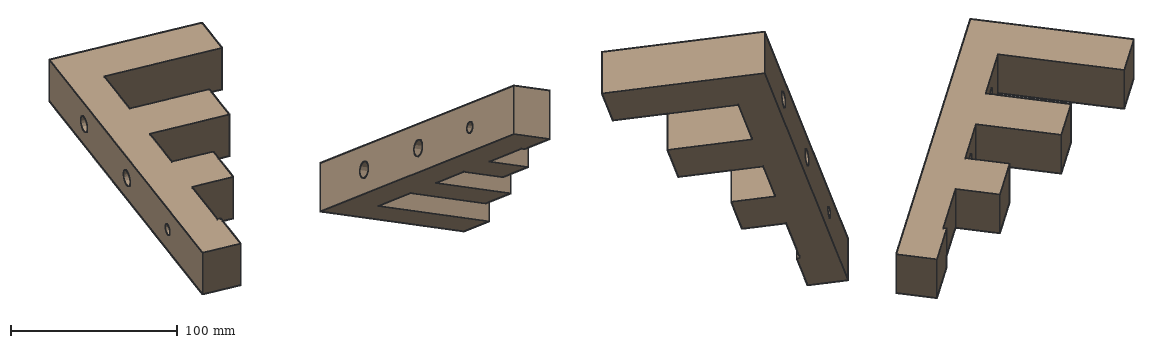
import cadquery as cq
import math

length = 229.0
base_depth = 23.0
thickness = 30.0

finger_width = 30.0
tallest_reach = 100.0
finger_count = 4
reach_step = tallest_reach / finger_count
outer_gap = 38.0
middle_gap = (length - finger_count * finger_width - 2 * outer_gap)
finger_gaps = [outer_gap, middle_gap, outer_gap]

through_diameter = 10.0
through_positions = [52.0, 115.9]
blind_diameter = 6.9
blind_position = 176.8
blind_depth = 16.0
drill_tip_angle = 118.0


def block(x_start, width, depth):
    """Block standing on the front face, y = 0."""
    return cq.Workplane("XY").box(width, depth, thickness, centered=False).translate((x_start, 0, 0))


def drill(x_position, diameter, depth):
    """Straight bore entering the front face."""
    entry = cq.Vector(x_position, 0, thickness / 2)
    return cq.Solid.makeCylinder(diameter / 2, depth, entry, cq.Vector(0, 1, 0))


result = block(0, length, base_depth)
finger_start = 0
for index in range(finger_count):
    reach = tallest_reach - index * reach_step
    result = result.union(block(finger_start, finger_width, reach))
    if index < len(finger_gaps):
        finger_start += finger_width + finger_gaps[index]

for position in through_positions:
    result = result.cut(drill(position, through_diameter, base_depth))

result = result.cut(drill(blind_position, blind_diameter, blind_depth))
blind_radius = blind_diameter / 2
tip_length = blind_radius / math.tan(math.radians(drill_tip_angle / 2))
tip_base = cq.Vector(blind_position, blind_depth, thickness / 2)
drill_tip = cq.Solid.makeCone(blind_radius, 0, tip_length, tip_base, cq.Vector(0, 1, 0))
result = result.cut(drill_tip)